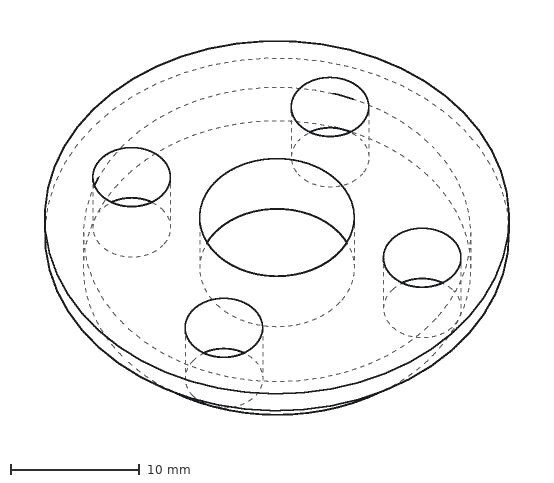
import cadquery as cq

flange_diameter = 36
total_height = 6.0
flange_thickness = 2.0
hub_diameter = 30.02
hub_height = total_height - flange_thickness

bore_diameter = 12.0
bolt_hole_diameter = 6.0
bolt_circle_diameter = 23.98
bolt_hole_count = 4


def flanged_hub():
    """Hub standing on Z = 0 with the flange on its upper face."""
    hub = cq.Workplane("XY").circle(hub_diameter / 2).extrude(hub_height)
    flange = (
        cq.Workplane("XY")
        .workplane(offset=hub_height)
        .circle(flange_diameter / 2)
        .extrude(flange_thickness)
    )
    return hub.union(flange)


def through_holes():
    """Central bore and the ring of bolt holes, which leave a very thin hub wall."""
    bore = cq.Workplane("XY").circle(bore_diameter / 2).extrude(total_height)
    bolt_holes = (
        cq.Workplane("XY")
        .polarArray(bolt_circle_diameter / 2, 0, 360, bolt_hole_count)
        .circle(bolt_hole_diameter / 2)
        .extrude(total_height)
    )
    return bore.union(bolt_holes)


result = flanged_hub().cut(through_holes())